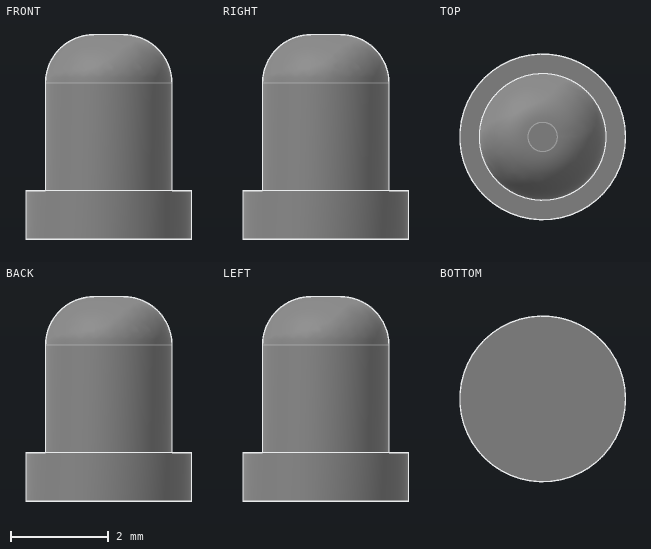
import cadquery as cq

total_height = 4.2
flange_diameter = 3.4
flange_height = 1.0
body_diameter = 2.6
tip_radius = 1.0

flange = cq.Workplane("XY").circle(flange_diameter / 2).extrude(flange_height)

body = cq.Workplane("XY").circle(body_diameter / 2).extrude(total_height)
body = body.faces(">Z").edges().fillet(tip_radius)

result = flange.union(body)